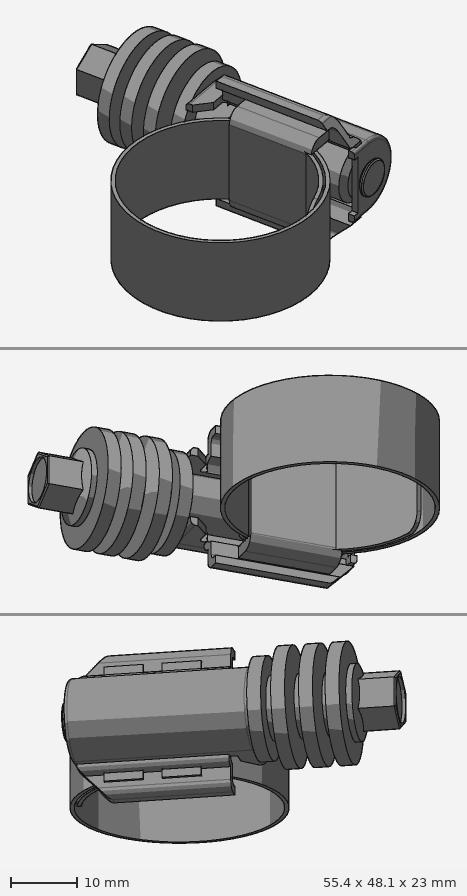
import cadquery as cq
import math


screw_y = 22.15
margin = 0.3

band_thickness = 0.65
band_width = 14.45
ring_outer_radius = 16.6
tail_gap = 0.4
tip_gap = 0.1
floor_gap = 0.03
layer_gap = 0.15
ring_radius = ring_outer_radius - band_thickness / 2
tail_radius = ring_radius - band_thickness - tail_gap
tip_radius = ring_radius + band_thickness + tip_gap
tail_end_y = 1.35
tip_end_x = -8.55
tail_corner_radius = 2.75
tip_corner_radius = 0.85

saddle_left = -7.4
saddle_right = 7.6
saddle_bottom = 13.35
saddle_half_width = 9.15
saddle_corner_radius = 2.15
saddle_floor_thickness = 0.7
saddle_floor_top = saddle_bottom + saddle_floor_thickness
mouth_left = 6.6
tab_length = 6.05
tab_height = 0.55
inner_layer_y = saddle_floor_top + floor_gap + band_thickness / 2
outer_layer_y = inner_layer_y + band_thickness + layer_gap

core_radius = 5.0
screw_left = -38.75
hex_flats = 8.1
hex_chamfer = 0.2
hex_recess_radius = 3.55
hex_recess_depth = 0.55
head_cone_left = -33.25
head_rim_left = -32.4
head_rim_right = -31.45
head_radius = 6.0
disc_radius = 9.4
disc_rim_width = 2.15
disc_rim_lefts = (-31.1, -27.0, -22.7)
disc_flank = 0.55
collar_left = -18.7
collar_flank = 0.15
collar_radius = 8.05
screw_shoulder = 11.0
screw_chamfer = 1.0
neck_radius = 2.5
rivet_left = 12.4
rivet_right = 13.1
rivet_radius = 3.1
rivet_chamfer = 0.2

housing_left = -16.55
housing_right = 12.15
barrel_radius = 6.5
sheet_thickness = 1.35
bore_radius = barrel_radius - sheet_thickness
barrel_front_round = 0.7
barrel_back_round = 0.55
flange_left = -11.9
flange_top = 19.5
flange_bottom = flange_top - sheet_thickness
flange_root_radius = 1.5
flange_root_top = flange_top + flange_root_radius
bend_radius = 1.95
bend_top = flange_bottom + bend_radius
flange_width = 23.0
hook_half_width = flange_width / 2
hook_tip_y = 16.45
hook_outer_radius = 1.5
hook_inner_radius = 0.85
corner_cut_x = 7.15
corner_cut_radius = 1.2
skirt_bottom = 15.1
skirt_flat_right = -15.35
skirt_right = -13.05
skirt_slope_top = 17.5
back_wall_bottom = 18.35
back_slot_top = 19.25
relief_top = 20.1
relief_radius = (flange_left - skirt_right) / 2


def box(x0, x1, y0, y1, z0, z1):
    """Box between two limits on each axis."""
    return cq.Workplane("XY").box(x1 - x0, y1 - y0, z1 - z0, centered=False).translate((x0, y0, z0))


def mirrored_pair(body):
    """The body together with its mirror image across the Z = 0 plane."""
    return body.union(body.mirror("XY"))


def x_cylinder(radius, x0, x1):
    """Cylinder about the screw axis."""
    return cq.Workplane("YZ", origin=(x0, screw_y, 0)).circle(radius).extrude(x1 - x0)



def at_height(radius, y, side):
    """Point of an origin-centred circle at height y; side is +1 for right, -1 for left."""
    return (side * math.sqrt(radius ** 2 - y ** 2), y)


def polar(radius, angle):
    """Point at an angle on an origin-centred circle."""
    return (radius * math.cos(angle), radius * math.sin(angle))


def arc_middle(start, end):
    """Middle point of the counterclockwise origin-centred arc between two points."""
    start_angle = math.atan2(start[1], start[0])
    sweep = (math.atan2(end[1], end[0]) - start_angle) % (2 * math.pi)
    return polar(math.hypot(*start), start_angle + sweep / 2)


def band_face(offset):
    """Corner points of one band face, from tail to tip: arc, line, arc, line, arc."""
    tail_angle = math.asin(tail_end_y / tail_radius)
    tip_angle = math.acos(tip_end_x / tip_radius)
    inner_y = inner_layer_y + offset
    outer_y = outer_layer_y + offset
    return [
        polar(tail_radius + offset, tail_angle),
        at_height(tail_radius + offset, inner_y, 1),
        at_height(ring_radius + offset, inner_y, -1),
        at_height(ring_radius + offset, outer_y, 1),
        at_height(tip_radius + offset, outer_y, -1),
        polar(tip_radius + offset, tip_angle),
    ]


def make_band():
    """One strip: tail, layer on the saddle floor, ring, layer back over the first one, tip."""
    outer = band_face(band_thickness / 2)
    inner = band_face(-band_thickness / 2)
    outline = cq.Workplane("XY", origin=(0, 0, -band_width / 2)).moveTo(*outer[0])
    for i in (0, 2, 4):
        outline = outline.threePointArc(arc_middle(outer[i], outer[i + 1]), outer[i + 1])
        next_point = outer[i + 2] if i < 4 else inner[5]
        outline = outline.lineTo(*next_point)
    for i in (5, 3, 1):
        outline = outline.threePointArc(arc_middle(inner[i - 1], inner[i]), inner[i - 1])
        if i > 1:
            outline = outline.lineTo(*inner[i - 2])
    strip = outline.close().extrude(band_width)
    for end, radius in ((0, tail_corner_radius), (5, tip_corner_radius)):
        middle = [(a + b) / 2 for a, b in zip(outer[end], inner[end])]
        for z in (-band_width / 2, band_width / 2):
            strip = strip.edges(cq.selectors.NearestToPointSelector((*middle, z))).fillet(radius)
    return strip



def saddle_tabs():
    """Four tabs that pass up through the housing flange, two on each side wall."""
    tabs = cq.Workplane("XY")
    for x in (saddle_left, saddle_right - tab_length):
        tab_right = x + tab_length
        tab_top = flange_top + tab_height
        tab = box(x, tab_right, flange_bottom, tab_top, band_width / 2, saddle_half_width)
        tabs = tabs.union(mirrored_pair(tab))
    return tabs


def make_saddle(band):
    """Channel around the band, relieved where the band tail leaves through its floor."""
    side = saddle_half_width
    channel = box(saddle_left, saddle_right, saddle_bottom, flange_bottom, -side, side)
    channel = channel.edges("|X and <Y").fillet(saddle_corner_radius)
    inside = box(saddle_left, saddle_right, saddle_floor_top, flange_bottom, -band_width / 2, band_width / 2)
    mouth = box(mouth_left, saddle_right, saddle_bottom, saddle_floor_top, -band_width / 2, band_width / 2)
    return channel.cut(inside).cut(mouth).union(saddle_tabs()).cut(band)



def hex_head():
    """Hexagon head with chamfered end edges and a shallow round recess."""
    length = head_rim_left - screw_left
    corner_diameter = hex_flats / math.cos(math.pi / 6)
    head = cq.Workplane("YZ", origin=(screw_left, screw_y, 0))
    head = head.transformed(rotate=(0, 0, 90)).polygon(6, corner_diameter).extrude(length)
    head = head.faces("<X").chamfer(hex_chamfer)
    return head.cut(x_cylinder(hex_recess_radius, screw_left, screw_left + hex_recess_depth))


def turned_screw():
    """Everything of the screw that is round about its axis, as one revolved profile of (x, radius)."""
    profile = [
        (head_cone_left, 0),
        (head_cone_left, hex_flats / 2),
        (head_rim_left, head_radius),
        (head_rim_right, head_radius),
    ]
    for rim_left in disc_rim_lefts:
        rim_right = rim_left + disc_rim_width
        profile += [
            (max(rim_left - disc_flank, head_rim_right), core_radius),
            (rim_left, disc_radius),
            (rim_right, disc_radius),
            (rim_right + disc_flank, core_radius),
        ]
    profile += [
        (collar_left - collar_flank, core_radius),
        (collar_left, collar_radius),
        (housing_left, collar_radius),
        (housing_left, core_radius),
        (screw_shoulder - screw_chamfer, core_radius),
        (screw_shoulder, core_radius - screw_chamfer),
        (screw_shoulder, neck_radius),
        (rivet_left, neck_radius),
        (rivet_left, rivet_radius - rivet_chamfer),
        (rivet_left + rivet_chamfer, rivet_radius),
        (rivet_right - rivet_chamfer, rivet_radius),
        (rivet_right, rivet_radius - rivet_chamfer),
        (rivet_right, 0),
    ]
    turned = cq.Workplane("XZ").polyline(profile).close().revolve(360, (0, 0, 0), (1, 0, 0))
    return turned.translate((0, screw_y, 0))


def make_screw():
    """Screw with its spring discs, collar and riveted end."""
    return turned_screw().union(hex_head())



def housing_barrel():
    """Round-topped barrel with straight side walls down to the lower edge of the front skirts."""
    barrel = (
        cq.Workplane("YZ", origin=(housing_left, 0, 0))
        .moveTo(skirt_bottom, -barrel_radius)
        .lineTo(screw_y, -barrel_radius)
        .threePointArc((screw_y + barrel_radius, 0), (screw_y, barrel_radius))
        .lineTo(skirt_bottom, barrel_radius)
        .close()
        .extrude(housing_right - housing_left)
    )
    outside = cq.selectors.BoxSelector(
        (housing_left - margin, skirt_bottom + margin, -barrel_radius - margin),
        (housing_left + margin, screw_y + barrel_radius + margin, barrel_radius + margin),
    )
    barrel = barrel.faces("<X").edges(outside).fillet(barrel_front_round)
    below_flange = (
        cq.Workplane("XY", origin=(0, 0, -barrel_radius))
        .moveTo(skirt_flat_right, skirt_bottom)
        .lineTo(skirt_right, skirt_slope_top)
        .lineTo(skirt_right, relief_top - relief_radius)
        .threePointArc((skirt_right + relief_radius, relief_top), (flange_left, relief_top - relief_radius))
        .lineTo(flange_left, bend_top)
        .lineTo(screw_shoulder, bend_top)
        .lineTo(screw_shoulder, back_wall_bottom)
        .lineTo(housing_right, back_wall_bottom)
        .lineTo(housing_right, skirt_bottom)
        .close()
        .extrude(2 * barrel_radius)
    )
    barrel = barrel.cut(below_flange)
    back_edges = cq.selectors.BoxSelector(
        (housing_right - margin, back_wall_bottom + margin, -barrel_radius - margin),
        (housing_right + margin, screw_y + barrel_radius + margin, barrel_radius + margin),
    )
    return barrel.edges(back_edges).fillet(barrel_back_round)


def flange_plan():
    """Outline of both flanges seen along the screw's radial direction, with cut back corners."""
    cut_run = housing_right - corner_cut_x
    wide = hook_half_width
    narrow = hook_half_width - cut_run
    plan = (
        cq.Workplane("XZ", origin=(0, screw_y, 0))
        .polyline([
            (flange_left, -wide),
            (corner_cut_x, -wide),
            (housing_right, -narrow),
            (housing_right, narrow),
            (corner_cut_x, wide),
            (flange_left, wide),
        ])
        .close()
        .extrude(screw_y - hook_tip_y)
    )
    corners = cq.selectors.BoxSelector(
        (corner_cut_x - margin, 0, -wide - margin),
        (corner_cut_x + margin, screw_y, wide + margin),
    )
    return plan.edges(corners).fillet(corner_cut_radius)


def housing_flanges():
    """Side flanges along the barrel: rounded root, flat plate and a hook bent down at the edge."""
    root_end = barrel_radius + flange_root_radius
    hook_inside = hook_half_width - sheet_thickness
    section = (
        cq.Workplane("YZ", origin=(flange_left, 0, 0))
        .moveTo(flange_bottom, bore_radius + bend_radius)
        .radiusArc((bend_top, bore_radius), bend_radius)
        .lineTo(flange_root_top, bore_radius)
        .lineTo(flange_root_top, barrel_radius)
        .radiusArc((flange_top, root_end), -flange_root_radius)
        .lineTo(flange_top, hook_half_width - hook_outer_radius)
        .radiusArc((flange_top - hook_outer_radius, hook_half_width), -hook_outer_radius)
        .lineTo(hook_tip_y, hook_half_width)
        .lineTo(hook_tip_y, hook_inside)
        .lineTo(flange_bottom - hook_inner_radius, hook_inside)
        .radiusArc((flange_bottom, hook_inside - hook_inner_radius), hook_inner_radius)
        .close()
        .extrude(housing_right - barrel_back_round - flange_left)
    )
    return mirrored_pair(section).intersect(flange_plan())


def make_housing(saddle):
    """Bored barrel with flanges, open below, and slots in the flanges for the saddle tabs."""
    bore = x_cylinder(bore_radius, housing_left, screw_shoulder)
    bore_slot = box(housing_left, screw_shoulder, skirt_bottom, screw_y, -bore_radius, bore_radius)
    back_slot = box(screw_shoulder, housing_right, flange_bottom, back_slot_top, -bore_radius, bore_radius)
    neck_hole = x_cylinder(neck_radius, screw_shoulder, housing_right)
    housing = housing_barrel().union(housing_flanges())
    return housing.cut(bore).cut(bore_slot).cut(back_slot).cut(neck_hole).cut(saddle)


band = make_band()
saddle = make_saddle(band)
screw = make_screw()
housing = make_housing(saddle)

result = cq.Compound.makeCompound([band.val(), saddle.val(), screw.val(), housing.val()])